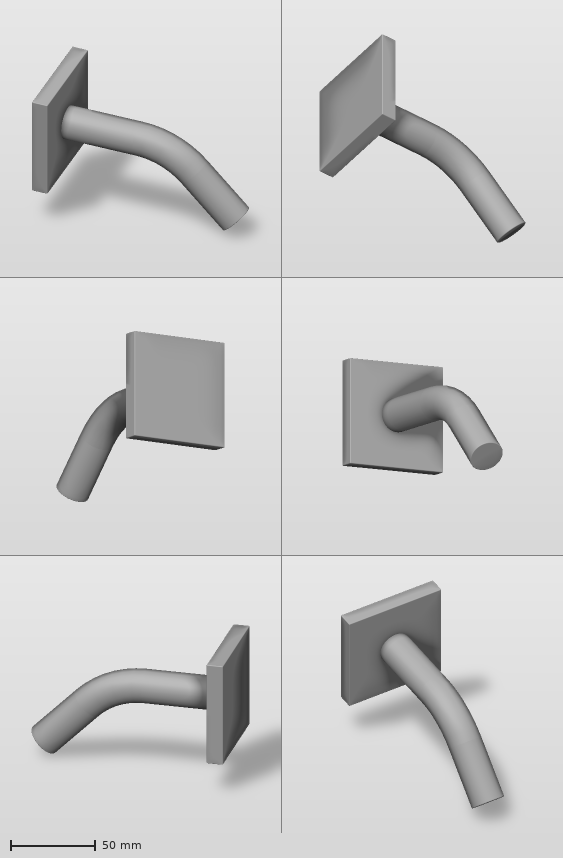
import cadquery as cq
import math

plate_side = 63.5
plate_thickness = 10.0
edge_radius = 0.5

arm_diameter = 20.5
overall_length = 125.0
bend_radius = 50.0
bend_angle = 45.0
outlet_length = 38.0

bend_rad = math.radians(bend_angle)
rim_center_along = outlet_length - edge_radius
rim_center_out = arm_diameter / 2 - edge_radius
outlet_reach = (
    rim_center_along * math.cos(bend_rad)
    + rim_center_out * math.sin(bend_rad)
    + edge_radius
)
bend_start = overall_length - outlet_reach - bend_radius * math.sin(bend_rad)


def make_plate():
    """Square plate with its back on the YZ plane and all edges softened."""
    plate = cq.Workplane("YZ").rect(plate_side, plate_side).extrude(plate_thickness)
    return plate.edges().fillet(edge_radius)


def bend_point(angle):
    """Point on the bend centerline, as (X, Z), after turning by angle."""
    x = bend_start + bend_radius * math.sin(angle)
    z = -bend_radius * (1 - math.cos(angle))
    return x, z


def make_arm():
    """Solid arm swept from the back of the plate, with a rounded outlet rim."""
    bend_end = bend_point(bend_rad)
    outlet_end = (
        bend_end[0] + outlet_length * math.cos(bend_rad),
        bend_end[1] - outlet_length * math.sin(bend_rad),
    )
    centerline = (
        cq.Workplane("XZ")
        .lineTo(bend_start, 0)
        .threePointArc(bend_point(bend_rad / 2), bend_end)
        .lineTo(*outlet_end)
    )
    arm = cq.Workplane("YZ").circle(arm_diameter / 2).sweep(centerline)
    return arm.edges(">X").fillet(edge_radius)


result = make_plate().union(make_arm())